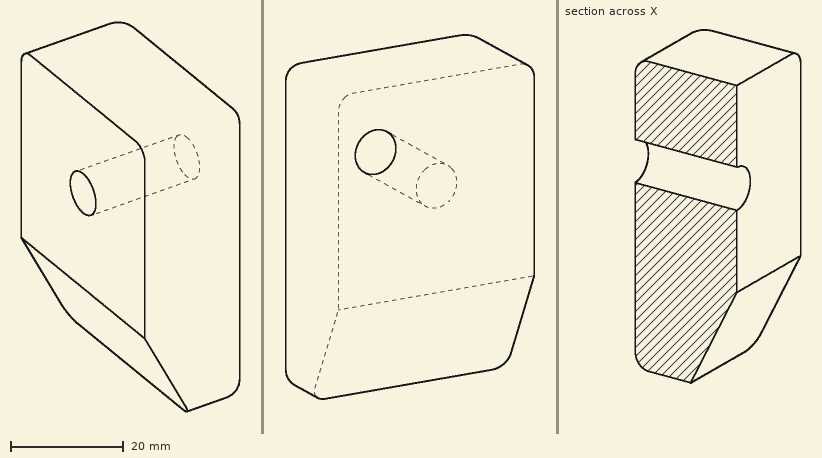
import cadquery as cq

height = 60.0
width = height * 2 / 3
depth = height * 11 / 30
corner_radius = 3.0
back_radius = height / 15
hole_diameter = 8.3
hole_height = height * 2 / 3
slope_height = height / 3
slope_depth = slope_height / 2

block = cq.Workplane("XY").box(width, depth, height, centered=(True, False, False))

block = block.faces(">Y").edges("|Z").fillet(back_radius)
block = block.edges("|Y").edges("<Z or >Z").fillet(corner_radius)

slope_cutter = (
    cq.Workplane("YZ")
    .polyline([(0, 0), (slope_depth, 0), (0, slope_height)])
    .close()
    .extrude(width / 2, both=True)
)

hole_cutter = (
    cq.Workplane("XZ")
    .center(0, hole_height)
    .circle(hole_diameter / 2)
    .extrude(-depth)
)

result = block.cut(slope_cutter).cut(hole_cutter)